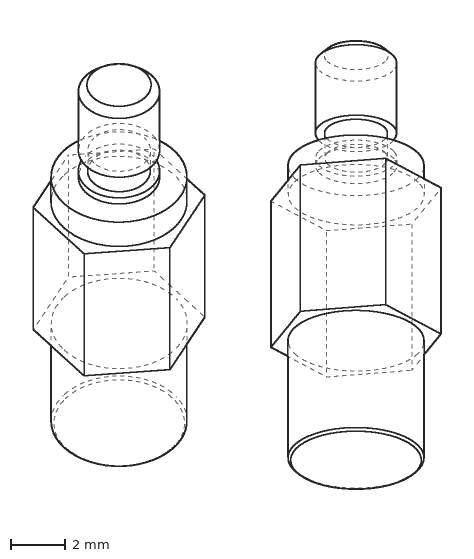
import cadquery as cq

TOTAL_LENGTH = 16.6
HEX_ACROSS_FLATS = 5.5
HEX_HEIGHT = 6.0
BARREL_DIAMETER = 5.0
SHOULDER_HEIGHT = 1.2
BARREL_CHAMFER = 0.1

STUD_DIAMETER = 2.99
STUD_LENGTH = 4.52
STUD_CHAMFER = 0.32
COLLAR_HEIGHT = 0.3
NECK_DIAMETER = 2.3
NECK_HEIGHT = 1.01

TOP_Z = TOTAL_LENGTH / 2
BOTTOM_Z = -TOTAL_LENGTH / 2
SHOULDER_TOP_Z = TOP_Z - STUD_LENGTH
HEX_TOP_Z = SHOULDER_TOP_Z - SHOULDER_HEIGHT
HEX_BOTTOM_Z = HEX_TOP_Z - HEX_HEIGHT
COLLAR_TOP_Z = SHOULDER_TOP_Z + COLLAR_HEIGHT
NECK_TOP_Z = COLLAR_TOP_Z + NECK_HEIGHT


def cylinder(diameter, bottom_z, top_z):
    """Upright cylinder on the Z axis between two levels."""
    return cq.Workplane("XY").workplane(offset=bottom_z).circle(diameter / 2).extrude(top_z - bottom_z)


def make_housing():
    """Round barrel with a hexagonal wrench section and a shoulder of the barrel diameter above it."""
    barrel = cylinder(BARREL_DIAMETER, BOTTOM_Z, HEX_BOTTOM_Z).faces("<Z").chamfer(BARREL_CHAMFER)
    wrench_hex = (
        cq.Workplane("XY")
        .workplane(offset=HEX_BOTTOM_Z)
        .polygon(6, HEX_ACROSS_FLATS, circumscribed=True)
        .extrude(HEX_HEIGHT)
    )
    shoulder = cylinder(BARREL_DIAMETER, HEX_TOP_Z, SHOULDER_TOP_Z)
    return barrel.union(wrench_hex).union(shoulder)


def make_stud():
    """Stud standing on the shoulder: thin collar, narrow neck and chamfered head."""
    collar = cylinder(STUD_DIAMETER, SHOULDER_TOP_Z, COLLAR_TOP_Z)
    neck = cylinder(NECK_DIAMETER, COLLAR_TOP_Z, NECK_TOP_Z)
    head = cylinder(STUD_DIAMETER, NECK_TOP_Z, TOP_Z).faces(">Z").chamfer(STUD_CHAMFER)
    return collar.union(neck).union(head)


housing = make_housing()
stud = make_stud()

result = cq.Compound.makeCompound([housing.val(), stud.val()])